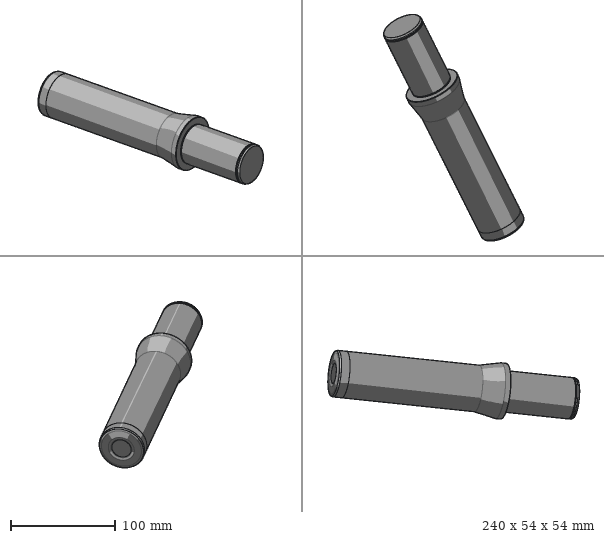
import cadquery as cq

TOTAL_LENGTH = 240.0
SPLIT_X = 10.8
FLARE_START_X = 142.8
RIM_START_X = 164.2
FLANGE_FACE_X = 169.7

HEAD_DIAMETER = 45.0
FLANGE_DIAMETER = 54.0
SHANK_DIAMETER = 40.0
RELIEF_DIAMETER = 39.5

NECK_WIDTH = 1.2
RIM_CHAMFER = 0.5
GROOVE_START_X = 235.7
GROOVE_WIDTH = 1.0
SHANK_CHAMFER_LENGTH = 2.0
SHANK_CHAMFER_DEPTH = 1.0

FACE_BEVEL_DIAMETER = 39.5
FACE_BEVEL_X = 0.5
NOSE_EDGE_DIAMETER = 43.7
NOSE_EDGE_X = 0.7
NOSE_END_X = 2.5

RECESS_DIAMETER = 25.7
RECESS_STEP_DIAMETER = 20.6
RECESS_STEP_DEPTH = 0.5
RECESS_FLOOR_DIAMETER = 19.2
RECESS_DEPTH = 0.7


def cylinder(start_x, end_x, diameter):
    """Cylinder on the X axis between two stations."""
    return cq.Workplane("YZ", origin=(start_x, 0, 0)).circle(diameter / 2).extrude(end_x - start_x)


def ring_groove(start_x, width):
    """Cutter that reduces the shank to the relief diameter."""
    outer = cylinder(start_x, start_x + width, FLANGE_DIAMETER)
    return outer.cut(cylinder(start_x, start_x + width, RELIEF_DIAMETER))


def make_cutting_head():
    """Short front cylinder with a bevelled nose and a shallow central recess."""
    return (
        cq.Workplane("XY")
        .polyline([
            (RECESS_DEPTH, 0),
            (RECESS_DEPTH, RECESS_FLOOR_DIAMETER / 2),
            (RECESS_STEP_DEPTH, RECESS_STEP_DIAMETER / 2),
            (0, RECESS_DIAMETER / 2),
            (FACE_BEVEL_X, FACE_BEVEL_DIAMETER / 2),
            (NOSE_EDGE_X, NOSE_EDGE_DIAMETER / 2),
            (NOSE_END_X, HEAD_DIAMETER / 2),
            (SPLIT_X, HEAD_DIAMETER / 2),
            (SPLIT_X, 0),
        ])
        .close()
        .revolve(360, (0, 0, 0), (1, 0, 0))
    )


def make_holder():
    """Long body that flares into a flange, followed by the cylindrical shank."""
    body = (
        cq.Workplane("XY")
        .moveTo(SPLIT_X, 0)
        .lineTo(SPLIT_X, HEAD_DIAMETER / 2)
        .lineTo(FLARE_START_X, HEAD_DIAMETER / 2)
        .lineTo(RIM_START_X, FLANGE_DIAMETER / 2)
        .lineTo(FLANGE_FACE_X, FLANGE_DIAMETER / 2)
        .lineTo(FLANGE_FACE_X, 0)
        .close()
        .revolve(360, (0, 0, 0), (1, 0, 0))
        .faces(">X").edges().chamfer(RIM_CHAMFER)
    )
    shank = (
        cq.Workplane("XY")
        .moveTo(FLANGE_FACE_X, 0)
        .lineTo(FLANGE_FACE_X, SHANK_DIAMETER / 2)
        .lineTo(TOTAL_LENGTH - SHANK_CHAMFER_LENGTH, SHANK_DIAMETER / 2)
        .lineTo(TOTAL_LENGTH, SHANK_DIAMETER / 2 - SHANK_CHAMFER_DEPTH)
        .lineTo(TOTAL_LENGTH, 0)
        .close()
        .revolve(360, (0, 0, 0), (1, 0, 0))
    )
    shank = shank.cut(ring_groove(FLANGE_FACE_X, NECK_WIDTH))
    shank = shank.cut(ring_groove(GROOVE_START_X, GROOVE_WIDTH))
    return body.union(shank)


cutting_head = make_cutting_head()
holder = make_holder()
result = cq.Compound.makeCompound([cutting_head.val(), holder.val()])